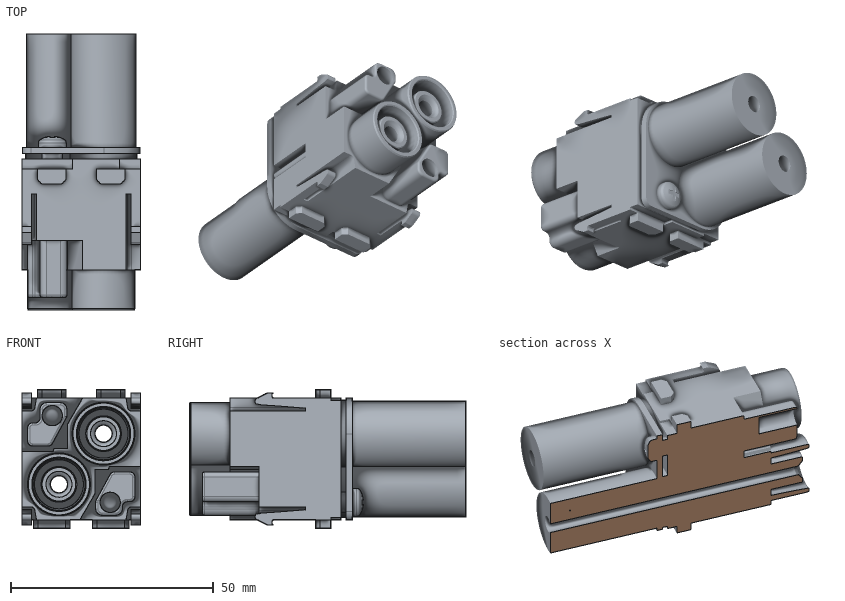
import cadquery as cq
import math


body_width = 29.3
body_height = 30.1
body_length = 27.4
half_width = body_width / 2
half_height = body_height / 2

contact_x = 5.5
contact_z = 6.25
shroud_radius = 7.75
shroud_bore_radius = 6.45
shroud_floor_radius = 6.05
shroud_length = 9.95
shroud_chamfer_axial = 0.4
shroud_chamfer_radial = 0.2
bore_chamfer = 0.25
pin_radius = 4.4
pin_recess = 1.7
pin_chamfer = 0.25
pin_hole_radius = 2.1
pin_mouth_radius = 3.2
pin_cone_length = pin_mouth_radius - pin_hole_radius
cable_tube_radius = 8.05
collar_radius = 8.25
rear_end = 58.25

flange_front = 28.7
flange_rear = 30.2
flange_width = 29.0
flange_height = body_height
flange_large_radius = 8.9
flange_small_radius = 2.05

screw_x = 7.15
screw_z = 10.7
screw_boss_radius = 2.55
screw_head_radius = 3.45
screw_rim_height = 1.1
screw_head_height = 2.8
screw_shoulder_radius = 3.05
screw_shoulder_height = 1.9
screw_slot_width = 1.1
screw_slot_length = 4.0
screw_slot_depth = 0.35

pocket_depth = 7.2
pocket_floor_z = 1.82
pocket_step_z = 2.6
pocket_step_x = -6.95
pocket_step_draft = 0.25
pocket_wall_x = -3.37
pocket_wall_top = 8.6
pocket_slope_top_x = 0.35
key_front = -6.8
key_hole_radius = 2.5
key_hole_depth = 10.0
key_edge_round = 0.55
key_top = 13.9
key_bottom = 3.2
key_outer_x = -13.25
key_inner_x = -3.55
key_slope_start_x = -7.45
key_slope_end_z = 10.4
key_top_round = 1.6
key_corner_round = 1.25
key_step_x = -10.15
upper_key_shoulder = 8.9
lower_key_shoulder = 10.55

tab_front = 21.15
tab_rear = 24.9
tab_x = 7.28
tab_chamfer = 1.1
tab_top = 17.1
upper_tab_width = 7.05
lower_tab_width = 9.1

relief_depth = 0.65
relief_wide_edge = 2.1
relief_narrow_edge = 9.4

latch_inner_x = 12.25
latch_gap_x = 11.05
latch_gap_draft = 0.4
latch_gap_corner = 0.9
latch_floor_z = 11.8
latch_root = 18.7
latch_root_z = 12.5
latch_belly_y = 12.9
latch_belly_z = 13.0
latch_tip_start = 7.8
latch_tip_z = 13.35
latch_tip_bevel = 0.25
latch_tip = 6.2
latch_nose_z = 14.25
latch_ramp_start = 6.75
latch_ramp_top = 9.25
latch_hook_top = 16.3
latch_hook_back = 10.7
hook_lip = 0.3

groove_top = -1.15
groove_bottom = -5.3
groove_front = 15.15
groove_depth = 2.2
rib_edge_z = -3.15
rib_edge_depth = 0.55
rib_nose_depth = 0.05
rib_bottom = -4.9
rib_sill_depth = 0.4


def prism(outline, y_start, y_end):
    """Extrude a closed XZ outline from y_start to y_end."""
    plane = cq.Workplane("XZ", origin=(0, y_end, 0))
    return plane.polyline(outline).close().extrude(y_end - y_start)


def block(x_range, y_range, z_range):
    size = [high - low for low, high in (x_range, y_range, z_range)]
    low_corner = (x_range[0], y_range[0], z_range[0])
    return cq.Workplane("XY").box(*size, centered=False).translate(low_corner)


def rod(x, z, radius, y_start, y_end):
    """Cylinder along Y."""
    return cq.Workplane("XZ", origin=(x, y_end, z)).circle(radius).extrude(y_end - y_start)


def half_turn(shape):
    return shape.rotate((0, 0, 0), (0, 1, 0), 180)


def with_half_turn(shape):
    return shape.union(half_turn(shape))


def spin(outline, x, z):
    """Revolve a (radius, y) outline about the line along Y through (x, z)."""
    profile = cq.Workplane("XY").polyline(outline).close()
    return profile.revolve(360, (0, 0, 0), (0, 1, 0)).translate((x, 0, z))


def four_corners(shape):
    pair = shape.union(shape.mirror("YZ"))
    return pair.union(pair.mirror("XY"))


def corner_pocket():
    """Stepped pocket in the (-X, +Z) front corner."""
    outline = [
        (-half_width, pocket_floor_z),
        (pocket_step_x, pocket_floor_z),
        (pocket_step_x + pocket_step_draft, pocket_step_z),
        (pocket_wall_x, pocket_step_z),
        (pocket_wall_x, pocket_wall_top),
        (pocket_slope_top_x, half_height),
        (-half_width, half_height),
    ]
    return prism(outline, 0, pocket_depth)


def coding_key(shoulder_z):
    """Rounded key standing out of the (-X, +Z) pocket, with a blind hole in its end."""
    outline = [
        (key_outer_x, key_bottom),
        (key_slope_start_x, key_bottom),
        (key_inner_x, key_slope_end_z),
        (key_inner_x, key_top),
        (key_step_x, key_top),
        (key_step_x, shoulder_z),
        (key_outer_x, shoulder_z),
    ]
    top_corners = cq.selectors.BoxSelector(
        (-half_width, key_front, key_top - key_corner_round),
        (0, pocket_depth, key_top + key_corner_round),
    )
    key = prism(outline, key_front, pocket_depth)
    key = key.edges("|Y").edges(top_corners).fillet(key_top_round)
    corners = cq.selectors.BoxSelector(
        (-half_width, key_front, 0),
        (0, pocket_depth, shoulder_z + key_corner_round / 2),
    )
    key = key.edges("|Y").edges(corners).fillet(key_corner_round)
    key = key.faces("<Y").edges().fillet(key_edge_round)
    return key.cut(rod(-screw_x, screw_z, key_hole_radius, key_front, key_front + key_hole_depth))


def rear_relief():
    """Shallow steps along the top rear edge."""
    z_range = (half_height - relief_depth, half_height)
    y_range = (tab_rear, body_length)
    wide = block((-half_width, -relief_wide_edge), y_range, z_range)
    narrow = block((relief_narrow_edge, half_width), y_range, z_range)
    return wide.union(narrow)


def tab(x, width, z_low, z_high):
    plate = block((x - width / 2, x + width / 2), (tab_front, tab_rear), (z_low, z_high))
    return plate.edges("|Z and <Y").chamfer(tab_chamfer)


def latch_gap():
    """Clearance around the latch arm in the (+X, +Z) corner."""
    section = (
        cq.Workplane("XZ", origin=(0, latch_root, 0))
        .moveTo(latch_gap_x, half_height)
        .lineTo(latch_gap_x + latch_gap_draft, latch_floor_z + latch_gap_corner)
        .tangentArcPoint((latch_gap_x + latch_gap_draft + latch_gap_corner, latch_floor_z), relative=False)
        .lineTo(half_width, latch_floor_z)
        .lineTo(half_width, half_height)
        .close()
    )
    return section.extrude(latch_root)


def latch_arm():
    """Tapered arm with a hooked tip in the (+X, +Z) corner."""
    side = (
        cq.Workplane("YZ", origin=(latch_inner_x, 0, 0))
        .moveTo(latch_root, latch_root_z)
        .threePointArc((latch_belly_y, latch_belly_z), (latch_tip_start, latch_tip_z))
        .lineTo(latch_tip + latch_tip_bevel, latch_tip_z + latch_tip_bevel)
        .threePointArc((latch_tip, latch_nose_z), (latch_ramp_start, half_height))
        .lineTo(latch_ramp_top, latch_hook_top)
        .lineTo(latch_hook_back, latch_hook_top)
        .lineTo(latch_hook_back - hook_lip, latch_hook_top - hook_lip)
        .lineTo(latch_hook_back - hook_lip, half_height + hook_lip)
        .lineTo(latch_hook_back, half_height)
        .lineTo(latch_root, half_height)
        .close()
    )
    return side.extrude(half_width - latch_inner_x)


def side_groove():
    """Groove in the -X side, open to the rear, around a rib with a sloped top and a round nose."""
    floor_x = groove_depth - half_width
    groove = block((-half_width, floor_x), (groove_front, body_length), (groove_bottom, groove_top))
    rib = (
        cq.Workplane("XZ", origin=(0, body_length, 0))
        .moveTo(floor_x, groove_top)
        .lineTo(rib_edge_depth - half_width, rib_edge_z)
        .threePointArc(
            (rib_nose_depth - half_width, (rib_edge_z + rib_bottom) / 2),
            (rib_sill_depth - half_width, rib_bottom),
        )
        .lineTo(rib_sill_depth - half_width, groove_bottom)
        .lineTo(floor_x, groove_bottom)
        .close()
        .extrude(body_length - groove_front)
    )
    return groove.cut(rib)


def flange():
    """Rear plate: corners over the contacts are wide arcs, the other two are small."""
    half_x = flange_width / 2
    half_z = flange_height / 2
    plate = block((-half_x, half_x), (flange_front, flange_rear), (-half_z, half_z))
    for side in (-1, 1):
        over_contact = cq.NearestToPointSelector((side * half_x, flange_rear, side * half_z))
        beside_screw = cq.NearestToPointSelector((-side * half_x, flange_rear, side * half_z))
        plate = plate.edges("|Y").edges(over_contact).fillet(flange_large_radius)
        plate = plate.edges("|Y").edges(beside_screw).fillet(flange_small_radius)
    return plate


def screw():
    """Domed screw head behind the flange and its boss in front of it, at (-X, +Z)."""
    rim = flange_rear + screw_rim_height
    crown = flange_rear + screw_head_height
    shoulder = (screw_shoulder_radius, flange_rear + screw_shoulder_height)
    dome_rise = screw_head_height - screw_shoulder_height
    dome_radius = (screw_shoulder_radius**2 + dome_rise**2) / (2 * dome_rise)
    mid_radius = screw_shoulder_radius / 2
    mid_y = crown - dome_radius + math.sqrt(dome_radius**2 - mid_radius**2)
    head = (
        cq.Workplane("XY")
        .moveTo(0, flange_rear)
        .lineTo(screw_head_radius, flange_rear)
        .lineTo(screw_head_radius, rim)
        .tangentArcPoint(shoulder, relative=False)
        .threePointArc((mid_radius, mid_y), (0, crown))
        .close()
        .revolve(360, (0, 0, 0), (0, 1, 0))
    )
    for size in ((screw_slot_length, screw_slot_width), (screw_slot_width, screw_slot_length)):
        slot = cq.Workplane("XZ", origin=(0, crown, 0)).rect(*size).extrude(screw_slot_depth)
        head = head.cut(slot)
    head = head.translate((-screw_x, 0, screw_z))
    return head.union(rod(-screw_x, screw_z, screw_boss_radius, body_length, flange_rear))


def contact_outside():
    """Front shroud, collar and rear cable tube of the (+X, +Z) contact."""
    shroud = spin(
        [
            (0, -shroud_length),
            (shroud_radius - shroud_chamfer_radial, -shroud_length),
            (shroud_radius, shroud_chamfer_axial - shroud_length),
            (shroud_radius, pocket_depth),
            (0, pocket_depth),
        ],
        contact_x,
        contact_z,
    )
    collar = rod(contact_x, contact_z, collar_radius, body_length, flange_front)
    tube = rod(contact_x, contact_z, cable_tube_radius, flange_front, rear_end)
    return shroud.union(collar).union(tube)


def contact_inside():
    """Annular space around the pin and the stepped hole through the (+X, +Z) contact."""
    pin_front = pin_recess - shroud_length
    return spin(
        [
            (0, -shroud_length),
            (shroud_bore_radius + bore_chamfer, -shroud_length),
            (shroud_bore_radius, bore_chamfer - shroud_length),
            (shroud_floor_radius, 0),
            (pin_radius, 0),
            (pin_radius, pin_front + pin_chamfer),
            (pin_radius - pin_chamfer, pin_front),
            (pin_mouth_radius, pin_front),
            (pin_hole_radius, pin_front + pin_cone_length),
            (pin_hole_radius, rear_end),
            (0, rear_end),
        ],
        contact_x,
        contact_z,
    )


def housing():
    body = block((-half_width, half_width), (0, body_length), (-half_height, half_height))
    body = body.cut(with_half_turn(corner_pocket()))
    body = body.cut(with_half_turn(rear_relief()))
    body = body.cut(four_corners(latch_gap()))
    body = body.cut(side_groove())
    body = body.union(four_corners(latch_arm()))
    root_z = half_height - relief_depth
    for x in (-tab_x, tab_x):
        body = body.union(tab(x, upper_tab_width, root_z, tab_top))
        body = body.union(tab(x, lower_tab_width, -tab_top, -root_z))
    return body


result = housing()
result = result.union(coding_key(upper_key_shoulder))
result = result.union(half_turn(coding_key(lower_key_shoulder)))
for feature in (contact_outside(), screw()):
    result = result.union(with_half_turn(feature))
result = result.union(flange())
result = result.cut(with_half_turn(contact_inside()))